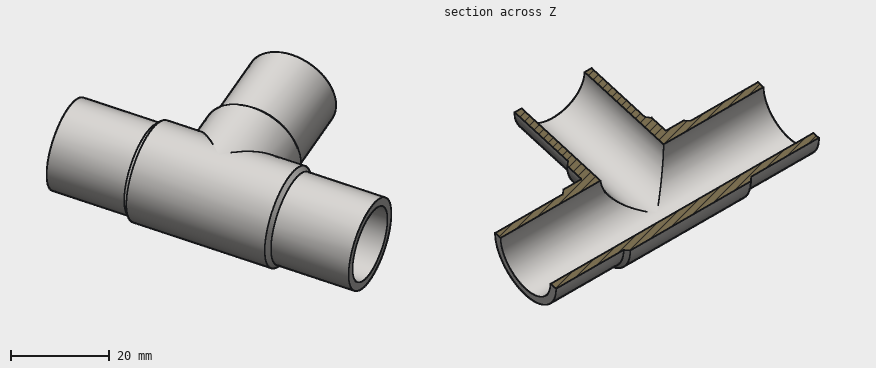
import cadquery as cq

arm_length = 34.0
body_arm_length = 16.5
body_diameter = 21.9
spigot_diameter = 20.0
bore_diameter = 16.25

body_chamfer = (body_diameter - spigot_diameter) / 2

run_plane = cq.Workplane("YZ")
branch_plane = cq.Workplane("ZX")


def run_cylinder(diameter, half_length):
    """Cylinder along X, centred on the tee."""
    return run_plane.circle(diameter / 2).extrude(half_length, both=True)


def branch_cylinder(diameter, length):
    """Cylinder from the tee centre towards +Y."""
    return branch_plane.circle(diameter / 2).extrude(length)


run_body = run_cylinder(body_diameter, body_arm_length).faces("<X or >X").chamfer(body_chamfer)
branch_body = branch_cylinder(body_diameter, body_arm_length).faces(">Y").chamfer(body_chamfer)

run_spigots = run_cylinder(spigot_diameter, arm_length)
branch_spigot = branch_cylinder(spigot_diameter, arm_length)

run_bore = run_cylinder(bore_diameter, arm_length)
branch_bore = branch_cylinder(bore_diameter, arm_length)

outside = run_body.union(branch_body).union(run_spigots).union(branch_spigot)
result = outside.cut(run_bore).cut(branch_bore)